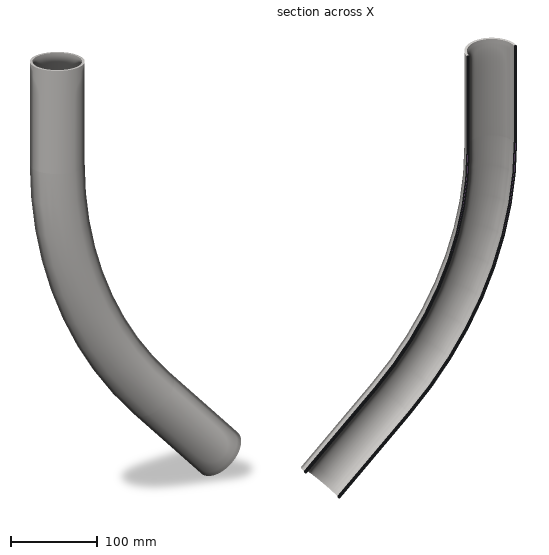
import cadquery as cq
import math

outer_diameter = 63.5
inner_diameter = 57.4

bend_angle = 45.0
bend_radius = 431.8
straight_length = 127.0


def bend_point(angle):
    """Centreline point (Y, Z) after turning by angle; the bend starts at the origin, heading -Z."""
    turn = math.radians(angle)
    return bend_radius * (1 - math.cos(turn)), -bend_radius * math.sin(turn)


def centreline():
    """Vertical upper leg, bend towards +Y, then the inclined lower leg."""
    bend_end = bend_point(bend_angle)
    turn = math.radians(bend_angle)
    lower_end = (
        bend_end[0] + straight_length * math.sin(turn),
        bend_end[1] - straight_length * math.cos(turn),
    )
    return (
        cq.Workplane("YZ")
        .moveTo(0, straight_length)
        .lineTo(0, 0)
        .threePointArc(bend_point(bend_angle / 2), bend_end)
        .lineTo(*lower_end)
    )


def bent_tube():
    """Ring section at the top end, swept along the centreline."""
    return (
        cq.Workplane("XY", origin=(0, 0, straight_length))
        .circle(outer_diameter / 2)
        .circle(inner_diameter / 2)
        .sweep(centreline())
    )


result = bent_tube()